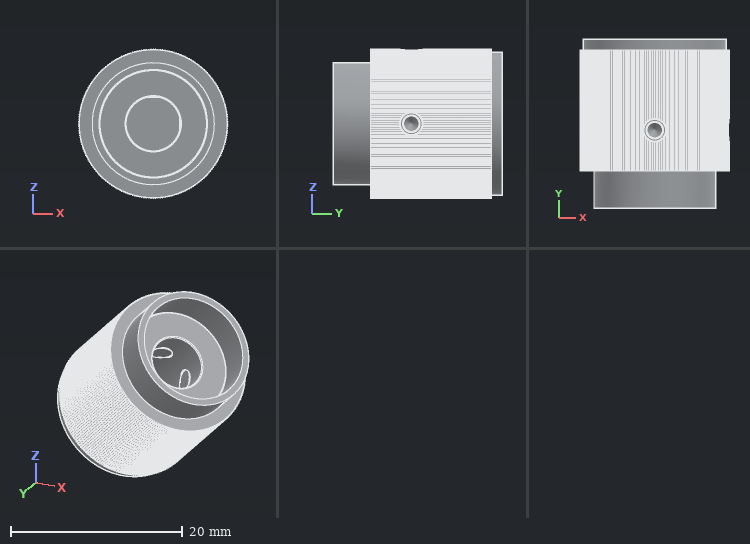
import cadquery as cq
import math

length = 19.81
collar_length = 4.35
rim_length = 1.27
collar_diameter = 14.28
rim_diameter = 16.75

grip_diameter = 17.45
ridge_count = 200
ridge_width = 0.105
ridge_height = 0.065

recess_diameter = 12.7
recess_depth = 4.54
floor_bevel = 0.12

bore_diameter = 6.35
bore_end = 15.85
bore_chamfer = 0.12

screw_angles = (0, 90)
screw_position = 9.15
screw_diameter = 2.73
screw_tip_radius = 3.05
screw_head_radius = 8.34
screw_chamfer = 0.1
socket_diameter = 1.82
socket_chamfer = 0.12
socket_depth = 1.98
socket_cone_depth = socket_diameter / 2


def cylinder(diameter, start, end):
    """Cylinder on the knob axis between two positions along Y."""
    return cq.Workplane("XZ", origin=(0, start, 0)).circle(diameter / 2).extrude(start - end)


def polar_point(radius, angle):
    return (radius * math.cos(angle), radius * math.sin(angle))


def make_grip():
    """Knurled cylinder; each ridge has a crest between two feet, and arcs join ridge to ridge."""
    crest_radius = grip_diameter / 2
    foot_radius = crest_radius - ridge_height
    half_ridge_angle = ridge_width / 2 / foot_radius
    pitch_angle = 2 * math.pi / ridge_count
    section = cq.Workplane("XZ", origin=(0, collar_length, 0))
    section = section.moveTo(*polar_point(foot_radius, -half_ridge_angle))
    for index in range(ridge_count):
        crest_angle = index * pitch_angle
        valley_middle = polar_point(foot_radius, crest_angle + pitch_angle / 2)
        next_foot = polar_point(foot_radius, crest_angle + pitch_angle - half_ridge_angle)
        section = section.lineTo(*polar_point(crest_radius, crest_angle))
        section = section.lineTo(*polar_point(foot_radius, crest_angle + half_ridge_angle))
        section = section.threePointArc(valley_middle, next_foot)
    grip_length = length - rim_length - collar_length
    return section.close().extrude(-grip_length)


def make_cavity():
    """Recess and shaft bore as one turned shape; points are (radius, Y)."""
    recess_radius = recess_diameter / 2
    bore_radius = bore_diameter / 2
    profile = [
        (0, 0),
        (recess_radius, 0),
        (recess_radius, recess_depth + floor_bevel),
        (recess_radius - floor_bevel, recess_depth),
        (bore_radius + bore_chamfer, recess_depth),
        (bore_radius, recess_depth + bore_chamfer),
        (bore_radius, bore_end),
        (0, bore_end),
    ]
    return cq.Workplane("XY").polyline(profile).close().revolve(360, (0, 0), (0, 1))


def place_radially(shape, angle):
    """Move a shape built along Z to the screw position and turn it to an angle from +X."""
    return shape.translate((0, screw_position, 0)).rotate((0, 0, 0), (0, 1, 0), 90 - angle)


def make_screw_hole():
    """Round hole from the knob axis outward through the grip."""
    return cq.Workplane("XY").circle(screw_diameter / 2).extrude(grip_diameter)


def make_knob():
    knob = cylinder(collar_diameter, 0, collar_length)
    knob = knob.union(make_grip())
    knob = knob.union(cylinder(rim_diameter, length - rim_length, length))
    knob = knob.cut(make_cavity())
    for angle in screw_angles:
        knob = knob.cut(place_radially(make_screw_hole(), angle))
    return knob


def make_set_screw():
    """Headless screw with a flat tip and a round, cone-bottomed socket; points are (radius, Z)."""
    screw_radius = screw_diameter / 2
    socket_radius = socket_diameter / 2
    socket_floor = screw_head_radius - socket_depth
    profile = [
        (0, screw_tip_radius),
        (screw_radius, screw_tip_radius),
        (screw_radius, screw_head_radius - screw_chamfer),
        (screw_radius - screw_chamfer, screw_head_radius),
        (socket_radius + socket_chamfer, screw_head_radius),
        (socket_radius, screw_head_radius - socket_chamfer),
        (socket_radius, socket_floor),
        (0, socket_floor - socket_cone_depth),
    ]
    return cq.Workplane("XZ").polyline(profile).close().revolve(360, (0, 0), (0, 1))


knob = make_knob()
set_screws = [place_radially(make_set_screw(), angle) for angle in screw_angles]

result = cq.Compound.makeCompound([knob.val(), *[screw.val() for screw in set_screws]])